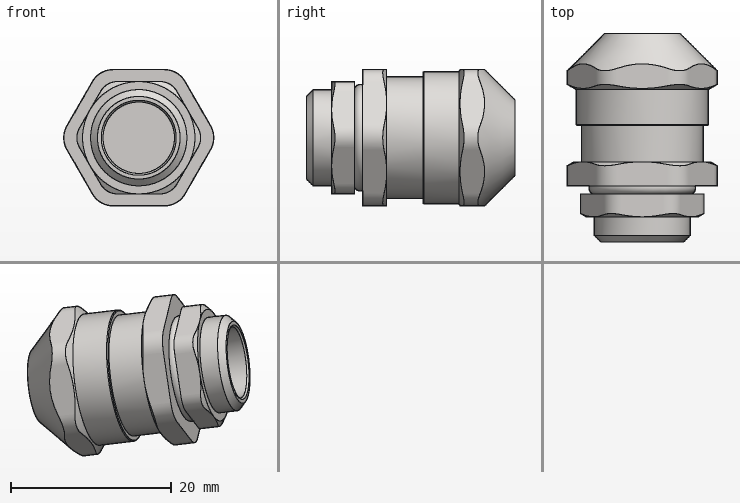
import cadquery as cq
import math


LOCKNUT_START = 3.15
LOCKNUT_END = 6.0
BODY_HEX_START = 7.0
BODY_HEX_END = 10.0
COLLAR_START = 14.5
CAP_START = 19.0
TOTAL_LENGTH = 26.0

STUB_DIAMETER = 12.0
STUB_CHAMFER = 0.85
BORE_DIAMETER = 8.9
BORE_MOUTH_CHAMFER = 0.22
BORE_DEPTH = 3.3

HEX_SIDES = 6
LOCKNUT_FLATS = 14.0
LOCKNUT_CORNER_RADIUS = 2.4
MAIN_FLATS = 17.0
MAIN_CORNER_RADIUS = 3.0
HEX_CHAMFER_ANGLE = 30.0

RING_OUTER_DIAMETER = 13.3
RING_SECTION_RADIUS = 0.8
RING_CENTRE = 6.72

NECK_DIAMETER = 15.2
COLLAR_DIAMETER = 16.5
COLLAR_CHAMFER = 0.12

CAP_TIP_DIAMETER = 9.4
CAP_CONE_ANGLE = 45.0


def cylinder(diameter, start, end):
    """Solid cylinder on the Y axis between two stations."""
    return cq.Workplane("XZ", origin=(0, start, 0)).circle(diameter / 2).extrude(start - end)


def revolve_profile(points):
    """Solid of revolution about the Y axis from (radius, station) points."""
    return cq.Workplane("XY").polyline(points).close().revolve(360, (0, 0, 0), (0, 1, 0))


def hexagon(flats, corner_radius, start, end):
    """Hexagonal prism with rounded corners pointing along +X and -X."""
    across_corners = flats / math.cos(math.pi / HEX_SIDES)
    prism = cq.Workplane("XZ", origin=(0, start, 0)).polygon(HEX_SIDES, across_corners).extrude(start - end)
    return prism.edges("|Y").fillet(corner_radius)


def trim_corners(prism, face_diameter, face, other_end, angle=HEX_CHAMFER_ANGLE):
    """Trim the corners of a prism with a cone that leaves a circle on its face station.

    The cone slopes at the given angle from the face plane.
    """
    slope = math.tan(math.radians(angle))
    length = abs(other_end - face)
    face_radius = face_diameter / 2
    wide_radius = face_radius + length / slope
    envelope = revolve_profile([(0, face), (face_radius, face), (wide_radius, other_end), (0, other_end)])
    return prism.intersect(envelope)


def make_stub():
    stub = cylinder(STUB_DIAMETER, 0, BODY_HEX_START)
    return stub.faces("<Y").chamfer(STUB_CHAMFER)


def make_locknut():
    nut = hexagon(LOCKNUT_FLATS, LOCKNUT_CORNER_RADIUS, LOCKNUT_START, LOCKNUT_END)
    return trim_corners(nut, LOCKNUT_FLATS, LOCKNUT_START, LOCKNUT_END)


def make_sealing_ring():
    section_centre = RING_OUTER_DIAMETER / 2 - RING_SECTION_RADIUS
    inward = cq.Plane(origin=(section_centre, RING_CENTRE, 0), xDir=(-1, 0, 0), normal=(0, 0, 1))
    section = cq.Workplane(inward).circle(RING_SECTION_RADIUS)
    return section.revolve(360, (section_centre, 0, 0), (section_centre, 1, 0))


def make_body_hex():
    body_hex = hexagon(MAIN_FLATS, MAIN_CORNER_RADIUS, BODY_HEX_START, BODY_HEX_END)
    return trim_corners(body_hex, MAIN_FLATS, BODY_HEX_END, BODY_HEX_START)


def make_collar():
    collar = cylinder(COLLAR_DIAMETER, COLLAR_START, CAP_START)
    return collar.faces("<Y").chamfer(COLLAR_CHAMFER)


def make_cap():
    cap = hexagon(MAIN_FLATS, MAIN_CORNER_RADIUS, CAP_START, TOTAL_LENGTH)
    cap = trim_corners(cap, COLLAR_DIAMETER, CAP_START, TOTAL_LENGTH)
    return trim_corners(cap, CAP_TIP_DIAMETER, TOTAL_LENGTH, CAP_START, CAP_CONE_ANGLE)


def make_bore():
    radius = BORE_DIAMETER / 2
    mouth_radius = radius + BORE_MOUTH_CHAMFER
    return revolve_profile([
        (0, 0),
        (mouth_radius, 0),
        (radius, BORE_MOUTH_CHAMFER),
        (radius, BORE_DEPTH),
        (0, BORE_DEPTH),
    ])


neck = cylinder(NECK_DIAMETER, BODY_HEX_END, COLLAR_START)

result = (
    make_stub()
    .union(make_locknut())
    .union(make_sealing_ring())
    .union(make_body_hex())
    .union(neck)
    .union(make_collar())
    .union(make_cap())
    .cut(make_bore())
)